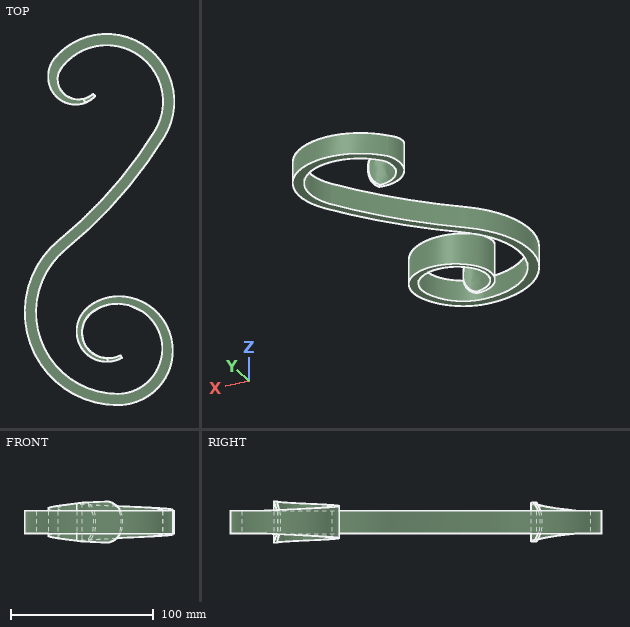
import cadquery as cq
import math


BAR_THICKNESS = 8.0
BAR_WIDTH = 16.0
TIP_THICKNESS = 2.0
TIP_WIDTH = 30.0
TIP_CORNER_RADIUS = 13.0
CUT_MARGIN = 2.5
CUT_DEPTH = 7.8

LOWER_BEND = [(34.8, 66)]
LOWER_CURL = [(34.8, 113), (31.2, 40.4), (19.8, 170)]
UPPER_BENDS = [(61.0, -140.8), (311.0, 19), (43.5, 173.2)]
UPPER_CURL = [(17.0, 174)]

START = (0, 0)
HEADING_RIGHT = 0
HEADING_LEFT = 180
SECTION_STEP = 15


def travel(pose, radius, sweep):
    """Move a pose (x, y, heading in degrees) along an arc that starts there."""
    x, y, heading = pose
    side = math.copysign(radius, sweep)
    before = math.radians(heading)
    after = math.radians(heading + sweep)
    x += side * (math.sin(after) - math.sin(before))
    y += side * (math.cos(before) - math.cos(after))
    return x, y, heading + sweep


def beside(pose, offset):
    """Point at a distance to the left of a pose."""
    x, y, heading = pose
    angle = math.radians(heading)
    return x - offset * math.sin(angle), y + offset * math.cos(angle)


def bent_bar(pose, radius, sweep):
    """Bar of constant section along one arc."""
    middle = travel(pose, radius, sweep / 2)
    end = travel(pose, radius, sweep)
    half = BAR_THICKNESS / 2
    return (
        cq.Workplane("XY")
        .moveTo(*beside(pose, half))
        .threePointArc(beside(middle, half), beside(end, half))
        .lineTo(*beside(end, -half))
        .threePointArc(beside(middle, -half), beside(pose, -half))
        .close()
        .extrude(BAR_WIDTH / 2, both=True)
    )


def cross_section(pose, thickness, width):
    """Rectangle standing across the centreline."""
    left = beside(pose, thickness / 2)
    right = beside(pose, -thickness / 2)
    top = width / 2
    corners = [(*left, -top), (*right, -top), (*right, top), (*left, top)]
    return cq.Wire.makePolygon([cq.Vector(*corner) for corner in corners], close=True)


def tip_corners(pose):
    """Waste outside the two rounded corners of a curl tip."""
    x, y, heading = pose
    angle = math.radians(heading)
    plane = cq.Plane(
        origin=(x, y, 0),
        xDir=(-math.cos(angle), -math.sin(angle), 0),
        normal=(-math.sin(angle), math.cos(angle), 0),
    )
    radius = TIP_CORNER_RADIUS
    inset = radius * (1 - math.cos(math.radians(45)))
    reach = TIP_WIDTH / 2 + CUT_MARGIN
    waste = cq.Workplane(plane)
    for side in (1, -1):
        edge = side * TIP_WIDTH / 2
        tip_tangent = edge - side * radius
        arc_middle = (inset, edge - side * inset)
        waste = (
            waste.moveTo(0, tip_tangent)
            .threePointArc(arc_middle, (radius, edge))
            .lineTo(radius, side * reach)
            .lineTo(-CUT_MARGIN, side * reach)
            .lineTo(-CUT_MARGIN, tip_tangent)
            .close()
        )
    return waste.extrude(CUT_DEPTH, both=True)


def tapered_curl(pose, arcs):
    """Curl whose thickness and width change evenly along its length."""
    length = sum(radius * math.radians(sweep) for radius, sweep in arcs)
    sections = [cross_section(pose, BAR_THICKNESS, BAR_WIDTH)]
    travelled = 0
    for radius, sweep in arcs:
        steps = math.ceil(sweep / SECTION_STEP)
        for _ in range(steps):
            pose = travel(pose, radius, sweep / steps)
            travelled += radius * math.radians(sweep / steps)
            share = travelled / length
            thickness = BAR_THICKNESS + share * (TIP_THICKNESS - BAR_THICKNESS)
            width = BAR_WIDTH + share * (TIP_WIDTH - BAR_WIDTH)
            sections.append(cross_section(pose, thickness, width))
    return cq.Workplane(cq.Solid.makeLoft(sections)).cut(tip_corners(pose))


def branch(heading, bends, curl):
    """Bent bars followed by the curl at their free end."""
    pose = (*START, heading)
    pieces = []
    for radius, sweep in bends:
        pieces.append(bent_bar(pose, radius, sweep))
        pose = travel(pose, radius, sweep)
    pieces.append(tapered_curl(pose, curl))
    return pieces


pieces = branch(HEADING_RIGHT, LOWER_BEND, LOWER_CURL)
pieces += branch(HEADING_LEFT, UPPER_BENDS, UPPER_CURL)

result = pieces[0]
for piece in pieces[1:]:
    result = result.union(piece)